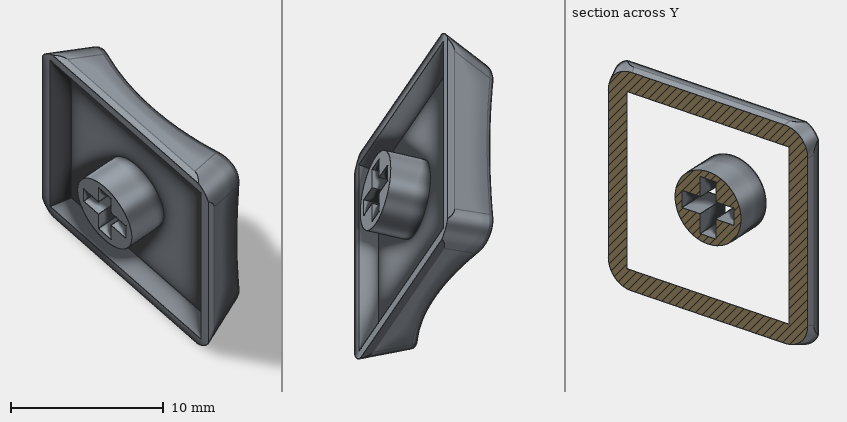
import cadquery as cq
import math

base_width = 16.5
lip_height = 0.5
wall_draft = 17.0
corner_radius = 2.0
blank_height = 5.0

dish_radius_x = 16.6
dish_radius_z = 55.0
dish_floor = 1.95
rim_radius = 0.5

pocket_mouth = 15.0
pocket_floor = 13.0
pocket_depth = 1.0

stem_diameter = 5.4
stem_length = 1.8
cross_length = 4.2
cross_width = 1.25
socket_depth = stem_length + pocket_depth


def plan_at(height):
    """Work plane at the given height above the skirt edge; negative extrusions rise toward +Y."""
    return cq.Workplane("XZ", origin=(0, height, 0))


def square_frustum(bottom_width, draft, height):
    """Square pyramid frustum standing on y = 0 and narrowing toward +Y."""
    return plan_at(0).rect(bottom_width, bottom_width).extrude(-height, taper=draft)


def make_dish_cutter():
    """Torus whose outer side forms the doubly curved dish."""
    center = cq.Vector(0, dish_floor + dish_radius_z, 0)
    ring_radius = dish_radius_z - dish_radius_x
    axis = cq.Vector(1, 0, 0)
    return cq.Workplane(obj=cq.Solid.makeTorus(ring_radius, dish_radius_x, center, axis))


def make_body():
    """Drafted body with rounded corners, a dished top and a straight-sided lip."""
    slope = math.tan(math.radians(wall_draft))
    bottom_width = base_width + 2 * lip_height * slope
    body = square_frustum(bottom_width, wall_draft, blank_height)
    body = body.edges("not(|X or |Z)").fillet(corner_radius)
    body = body.cut(make_dish_cutter())
    body = body.faces("%TORUS").edges().fillet(rim_radius)
    lip_envelope = plan_at(0).rect(base_width, base_width).extrude(-blank_height)
    return body.intersect(lip_envelope)


def make_pocket():
    """Hollow under the cap, narrowing toward its floor."""
    draft = math.degrees(math.atan2((pocket_mouth - pocket_floor) / 2, pocket_depth))
    return square_frustum(pocket_mouth, draft, pocket_depth)


def make_stem():
    """Round post from the pocket floor to below the skirt."""
    return plan_at(pocket_depth).circle(stem_diameter / 2).extrude(stem_length + pocket_depth)


def make_cross_socket():
    """Cross-shaped blind socket, open at the free end of the stem."""
    bar = plan_at(-stem_length).rect(cross_length, cross_width).extrude(-socket_depth)
    upright = plan_at(-stem_length).rect(cross_width, cross_length).extrude(-socket_depth)
    return bar.union(upright)


result = make_body().cut(make_pocket()).union(make_stem()).cut(make_cross_socket())